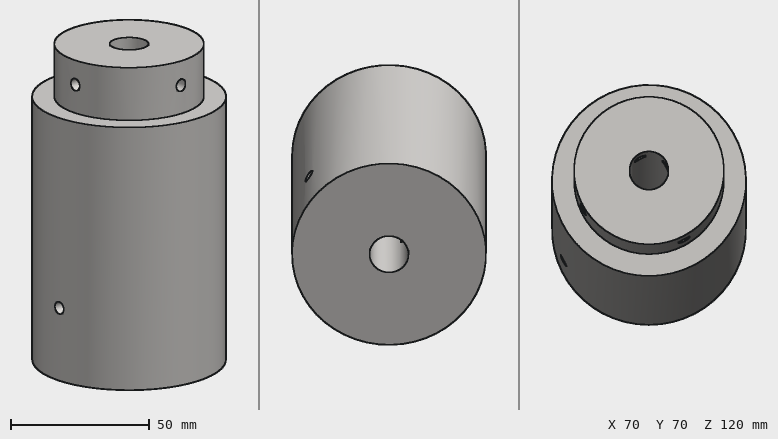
import cadquery as cq

total_height = 120.0
body_diameter = 70.0
neck_diameter = 54.0
neck_height = 20.0
body_height = total_height - neck_height

bore_diameter = 14.0
pin_hole_diameter = 4.5
neck_pin_depth = 9.2
neck_pin_height = total_height - neck_pin_depth
body_pin_height = 27.7


def cross_hole(plane, height):
    """Cylinder through the full width of the part, normal to the given plane."""
    return (
        cq.Workplane(plane)
        .center(0, height)
        .circle(pin_hole_diameter / 2)
        .extrude(body_diameter, both=True)
    )


body = cq.Workplane("XY").circle(body_diameter / 2).extrude(body_height)
neck = (
    cq.Workplane("XY")
    .workplane(offset=body_height)
    .circle(neck_diameter / 2)
    .extrude(neck_height)
)
bore = cq.Workplane("XY").circle(bore_diameter / 2).extrude(total_height)
result = body.union(neck).cut(bore)

result = result.cut(cross_hole("XZ", neck_pin_height))
result = result.cut(cross_hole("YZ", neck_pin_height))
result = result.cut(cross_hole("XZ", body_pin_height))